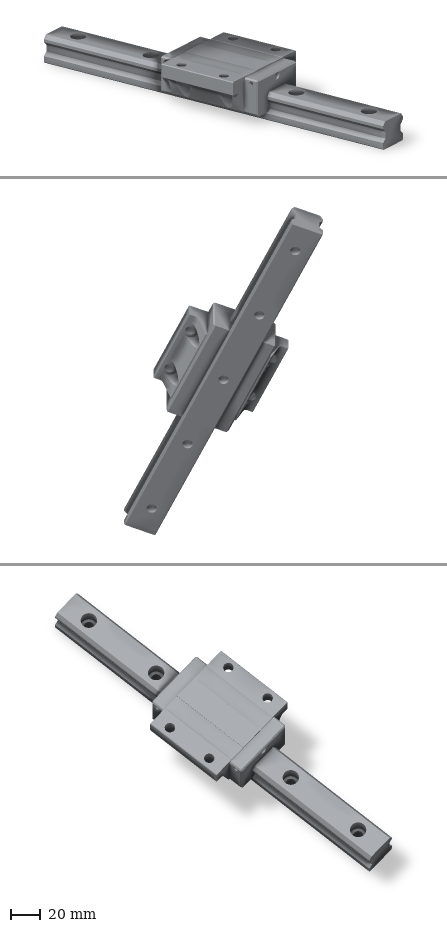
import cadquery as cq

RAIL_LENGTH = 280.0
RAIL_HEIGHT = 20.0
RAIL_HALF_WIDTH = 11.5
RAIL_WAIST_HALF_WIDTH = 8.8
RAIL_TOP_HALF_WIDTH = 9.3
RAIL_FOOT_CHAMFER = 0.7
FOOT_SHOULDER_Z = 5.0
WAIST_BOTTOM_Z = 7.5
WAIST_TOP_Z = 12.4
HEAD_BOTTOM_Z = 15.1
HEAD_SHOULDER_Z = 17.2

RAIL_HOLE_COUNT = 5
RAIL_HOLE_PITCH = 60.0
RAIL_HOLE_END_DISTANCE = 20.0
RAIL_HOLE_DIAMETER = 7.0
RAIL_COUNTERBORE_DIAMETER = 11.0
RAIL_COUNTERBORE_DEPTH = 9.0

CARRIAGE_OFFSET = 4.2
CARRIAGE_CENTER_X = RAIL_LENGTH / 2 + CARRIAGE_OFFSET
CARRIAGE_LENGTH = 80.2
CARRIAGE_BOTTOM_Z = 5.8
CARRIAGE_TOP_Z = 33.0

BLOCK_LENGTH = 59.1
FLANGE_HALF_WIDTH = 36.5
FLANGE_THICKNESS = 10.0
FLANGE_BOTTOM_Z = CARRIAGE_TOP_Z - FLANGE_THICKNESS
FLANGE_CHAMFER = 0.5
FLANK_TOP_HALF_WIDTH = 30.3
FLANK_BOTTOM_HALF_WIDTH = 24.0
FLANK_BOTTOM_Z = 7.6
FLANK_FILLET = 3.0

TROUGH_OUTER_HALF_WIDTH = 21.3
TROUGH_BEVEL_WIDTH = 0.6
TROUGH_DEPTH = 0.3
TOP_STRIP_HALF_WIDTH = 8.85

FLANGE_HOLE_PITCH_X = 35.0
FLANGE_HOLE_PITCH_Y = 60.0
FLANGE_HOLE_DIAMETER = 7.0
HEAD_CLEARANCE_DIAMETER = 11.6

CAP_TOP_Z = 32.0
CAP_HALF_WIDTH = 23.0
CAP_CHAMFER = 1.0
CAP_BOTTOM_CHAMFER = 1.5

END_PORT_Z = 28.6
END_PORT_DIAMETER = 5.08
END_PORT_DEPTH = 5.0
SIDE_PORT_DIAMETER = 3.0
SIDE_PORT_Z = 28.9
SIDE_PORT_DEPTH = 3.0
SIDE_PORT_END_DISTANCE = 5.0


def extrude_along_x(half_outline, center_x, length):
    """Mirror a (Y, Z) half outline about Y = 0 and extrude it about center_x."""
    mirrored = [(-y, z) for y, z in reversed(half_outline)]
    section = cq.Workplane("YZ", origin=(center_x - length / 2, 0, 0))
    return section.polyline(half_outline + mirrored).close().extrude(length)


def rail_bar():
    """Plain rail without its screw holes."""
    half_outline = [
        (RAIL_HALF_WIDTH - RAIL_FOOT_CHAMFER, 0),
        (RAIL_HALF_WIDTH, RAIL_FOOT_CHAMFER),
        (RAIL_HALF_WIDTH, FOOT_SHOULDER_Z),
        (RAIL_WAIST_HALF_WIDTH, WAIST_BOTTOM_Z),
        (RAIL_WAIST_HALF_WIDTH, WAIST_TOP_Z),
        (RAIL_HALF_WIDTH, HEAD_BOTTOM_Z),
        (RAIL_HALF_WIDTH, HEAD_SHOULDER_Z),
        (RAIL_TOP_HALF_WIDTH, RAIL_HEIGHT),
    ]
    return extrude_along_x(half_outline, RAIL_LENGTH / 2, RAIL_LENGTH)


def make_rail():
    """Rail with a row of counterbored screw holes from the top."""
    hole_centers = [
        (RAIL_HOLE_END_DISTANCE + i * RAIL_HOLE_PITCH, 0) for i in range(RAIL_HOLE_COUNT)
    ]
    return (
        rail_bar()
        .faces(">Z")
        .workplane(origin=(0, 0, RAIL_HEIGHT))
        .pushPoints(hole_centers)
        .cboreHole(RAIL_HOLE_DIAMETER, RAIL_COUNTERBORE_DIAMETER, RAIL_COUNTERBORE_DEPTH)
    )


def flanged_block():
    """Steel block: side flanges over sloping flanks, with shallow troughs in the top face."""
    trough_z = CARRIAGE_TOP_Z - TROUGH_DEPTH
    half_outline = [
        (CAP_HALF_WIDTH - CAP_BOTTOM_CHAMFER, CARRIAGE_BOTTOM_Z),
        (CAP_HALF_WIDTH, FLANK_BOTTOM_Z),
        (FLANK_BOTTOM_HALF_WIDTH, FLANK_BOTTOM_Z),
        (FLANK_TOP_HALF_WIDTH, FLANGE_BOTTOM_Z),
        (FLANGE_HALF_WIDTH - FLANGE_CHAMFER, FLANGE_BOTTOM_Z),
        (FLANGE_HALF_WIDTH, FLANGE_BOTTOM_Z + FLANGE_CHAMFER),
        (FLANGE_HALF_WIDTH, CARRIAGE_TOP_Z - FLANGE_CHAMFER),
        (FLANGE_HALF_WIDTH - FLANGE_CHAMFER, CARRIAGE_TOP_Z),
        (TROUGH_OUTER_HALF_WIDTH, CARRIAGE_TOP_Z),
        (TROUGH_OUTER_HALF_WIDTH - TROUGH_BEVEL_WIDTH, trough_z),
        (TOP_STRIP_HALF_WIDTH, trough_z),
        (TOP_STRIP_HALF_WIDTH, CARRIAGE_TOP_Z),
    ]
    block = extrude_along_x(half_outline, CARRIAGE_CENTER_X, BLOCK_LENGTH)
    for side in (-1, 1):
        corner = (CARRIAGE_CENTER_X, side * FLANK_TOP_HALF_WIDTH, FLANGE_BOTTOM_Z)
        block = block.edges(cq.selectors.NearestToPointSelector(corner)).fillet(FLANK_FILLET)
    return block


def cut_flange_holes(block):
    """Four screw holes, widened below the flange for the screw heads."""

    def drill(diameter, top_z):
        return (
            cq.Workplane("XY", origin=(CARRIAGE_CENTER_X, 0, 0))
            .rarray(FLANGE_HOLE_PITCH_X, FLANGE_HOLE_PITCH_Y, 2, 2)
            .circle(diameter / 2)
            .extrude(top_z)
        )

    screw_holes = drill(FLANGE_HOLE_DIAMETER, CARRIAGE_TOP_Z)
    head_clearances = drill(HEAD_CLEARANCE_DIAMETER, FLANGE_BOTTOM_Z)
    return block.cut(screw_holes).cut(head_clearances)


def end_caps():
    """Both end caps as one bar through the block, with chamfered top and side edges."""
    half_outline = [
        (CAP_HALF_WIDTH - CAP_BOTTOM_CHAMFER, CARRIAGE_BOTTOM_Z),
        (CAP_HALF_WIDTH, FLANK_BOTTOM_Z),
        (CAP_HALF_WIDTH, CAP_TOP_Z),
    ]
    bar = extrude_along_x(half_outline, CARRIAGE_CENTER_X, CARRIAGE_LENGTH)
    top_edges = bar.faces(">Z").edges()
    side_edges = bar.faces("<X or >X").edges("<Y or >Y")
    return bar.newObject(top_edges.vals() + side_edges.vals()).chamfer(CAP_CHAMFER)


def cut_ports(carriage):
    """Blind end port and two side ports in each end cap."""
    for end in (-1, 1):
        end_x = CARRIAGE_CENTER_X + end * CARRIAGE_LENGTH / 2
        end_port = (
            cq.Workplane("YZ", origin=(end_x, 0, END_PORT_Z))
            .circle(END_PORT_DIAMETER / 2)
            .extrude(-end * END_PORT_DEPTH)
        )
        carriage = carriage.cut(end_port)
        side_port_x = end_x - end * SIDE_PORT_END_DISTANCE
        for side in (-1, 1):
            side_port = (
                cq.Workplane("XZ", origin=(side_port_x, side * CAP_HALF_WIDTH, SIDE_PORT_Z))
                .circle(SIDE_PORT_DIAMETER / 2)
                .extrude(side * SIDE_PORT_DEPTH)
            )
            carriage = carriage.cut(side_port)
    return carriage


def make_carriage():
    """Block and end caps as one body, with a channel that fits the rail."""
    block = cut_flange_holes(flanged_block())
    carriage = block.union(end_caps())
    return cut_ports(carriage).cut(rail_bar())


rail = make_rail()
carriage = make_carriage()

result = cq.Compound.makeCompound([rail.val(), *carriage.vals()])